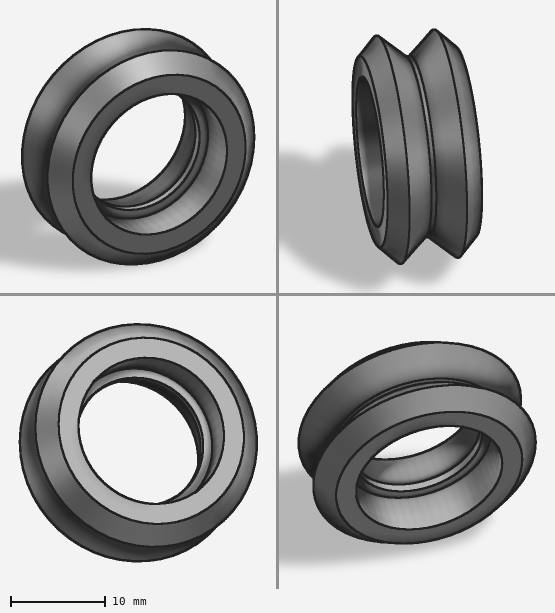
import cadquery as cq

width = 10.2
rim_diameter = 24.4
rim_inset = 2.0
groove_diameter = 19.32
groove_floor_width = 0.5
seat_diameter = 16.0
bore_diameter = 14.0
lip_width = 1.0

half_width = width / 2
rim_radius = rim_diameter / 2
rim_x = half_width - rim_inset
end_radius = rim_radius - rim_inset
groove_radius = groove_diameter / 2
half_floor = groove_floor_width / 2
seat_depth = (width - lip_width) / 2


def wheel_body():
    """Solid wheel with two sharp rims and a flat-bottomed V groove."""
    return (
        cq.Workplane("XY")
        .moveTo(-half_width, 0)
        .lineTo(-half_width, end_radius)
        .lineTo(-rim_x, rim_radius)
        .lineTo(-half_floor, groove_radius)
        .lineTo(half_floor, groove_radius)
        .lineTo(rim_x, rim_radius)
        .lineTo(half_width, end_radius)
        .lineTo(half_width, 0)
        .close()
        .revolve(360, (0, 0, 0), (1, 0, 0))
    )


def axial_cylinder(diameter, start_x, length):
    """Cylinder on the wheel axis, extending toward +X from start_x."""
    return cq.Workplane("YZ", origin=(start_x, 0, 0)).circle(diameter / 2).extrude(length)


result = wheel_body().cut(axial_cylinder(bore_diameter, -half_width, width))

for seat_start in (-half_width, half_width - seat_depth):
    result = result.cut(axial_cylinder(seat_diameter, seat_start, seat_depth))